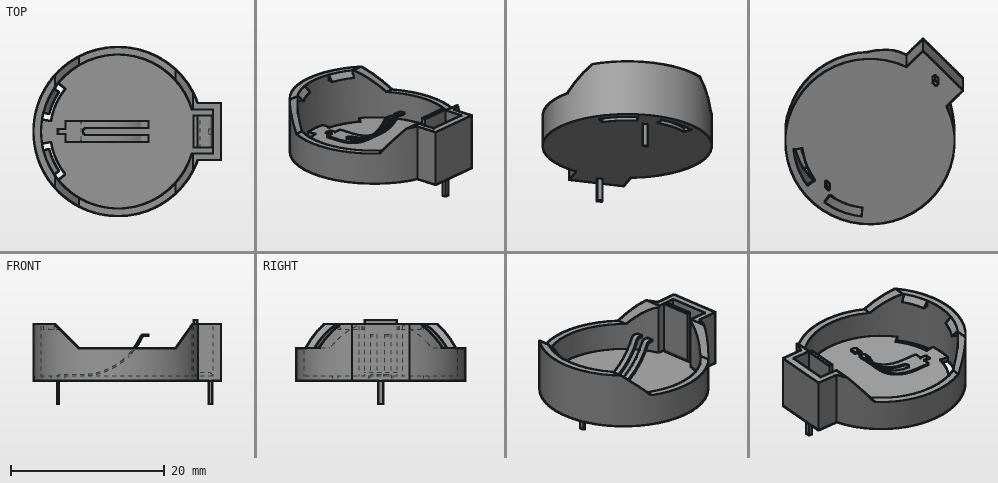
import cadquery as cq
import math

outer_radius = 11.05
inner_radius = 10.05
floor_height = 0.61
wall_height = 7.45
low_rim_height = 4.26

trough_top_left = -8.25
trough_bottom_left = trough_top_left + (wall_height - low_rim_height)
trough_bottom_right = 7.5
trough_top_right = 9.75
trough_width = 24.5

box_right = 13.45
box_width = 7.45
pocket_right = 12.37
pocket_width = 5.68

clip_angles = (156.0, 204.0)
clip_span = 19.8
clip_tip_radius = 9.25
clip_height = 0.75
slot_span = 29.9
slot_inner_radius = 8.87

pin_bottom = -3.05
pin_width = 0.69

leaf_thickness = 0.2
leaf_width = 2.72
leaf_left = -6.88
leaf_rise_start = -4.8
leaf_tip_start = 3.43
leaf_right = 3.97
leaf_base_top = floor_height + leaf_thickness
leaf_tip_top = 6.08
tip_bend_radius = 0.55
fork_left = -4.58
fork_width = 0.95
leaf_pin_left = -7.96
leaf_pin_thickness = 0.27
leaf_pin_bend = 0.35

plate_left = 9.85
plate_thickness = 0.5
plate_width = 4.21
plate_top = 7.96
plate_inner_bend = 0.37
plate_outer_bend = plate_inner_bend + plate_thickness
plate_pin_right = 12.3
plate_leg_top = floor_height + plate_thickness


def extrude_along_y(profile, width):
    """Extrude an XZ profile symmetrically about Y = 0."""
    return profile.close().extrude(width / 2, both=True)


def block(left, right, width, bottom, top):
    """Box centred on Y = 0."""
    return (
        cq.Workplane("XY")
        .box(right - left, width, top - bottom, centered=(False, True, False))
        .translate((left, 0, bottom))
    )


def ring_sector(profile_points, middle_angle, span):
    """Revolve a closed (radius, Z) profile about Z through part of a turn."""
    return (
        cq.Workplane("XZ")
        .polyline(profile_points)
        .close()
        .revolve(span, (0, 0, 0), (0, -1, 0))
        .rotate((0, 0, 0), (0, 0, 1), middle_angle + span / 2)
    )


def make_housing():
    """Round cup joined to the contact box, hollowed above the floor."""
    body = cq.Workplane("XY").circle(outer_radius).extrude(wall_height)
    body = body.union(block(0, box_right, box_width, 0, wall_height))
    cavity_depth = wall_height - floor_height
    cavity = cq.Workplane("XY").workplane(offset=floor_height).circle(inner_radius).extrude(cavity_depth)
    cavity = cavity.union(block(0, pocket_right, pocket_width, floor_height, wall_height))
    trough = extrude_along_y(
        cq.Workplane("XZ").polyline([
            (trough_top_left, wall_height),
            (trough_bottom_left, low_rim_height),
            (trough_bottom_right, low_rim_height),
            (trough_top_right, wall_height),
        ]),
        trough_width,
    )
    return body.cut(cavity).cut(trough)


def make_floor_slot(angle):
    """Cutter for a curved slot right through the floor, along the wall."""
    return ring_sector(
        [
            (slot_inner_radius, 0),
            (inner_radius, 0),
            (inner_radius, floor_height),
            (slot_inner_radius, floor_height),
        ],
        angle,
        slot_span,
    )


def make_clip(angle):
    """Wedge with a sloping lead-in and a flat underside, rooted inside the wall."""
    root_radius = (inner_radius + outer_radius) / 2
    underside = wall_height - clip_height
    return ring_sector(
        [
            (clip_tip_radius, underside),
            (root_radius, underside),
            (root_radius, wall_height),
            (inner_radius, wall_height),
        ],
        angle,
        clip_span,
    )


def make_spring_leaf():
    """Flat base, rising arc and level tip, split into two prongs by a round-ended gap."""
    run = leaf_tip_start - leaf_rise_start
    rise = leaf_tip_top - leaf_base_top
    turn = 2 * math.atan2(rise, run)
    rise_radius = run / math.sin(turn) - tip_bend_radius
    rise_centre = (leaf_rise_start, leaf_base_top + rise_radius)
    bend_centre = (leaf_tip_start, leaf_tip_top - tip_bend_radius)

    def on_rise(depth, angle):
        radius = rise_radius + depth
        return (rise_centre[0] + radius * math.sin(angle), rise_centre[1] - radius * math.cos(angle))

    def on_bend(depth, angle):
        radius = tip_bend_radius - depth
        return (bend_centre[0] - radius * math.sin(angle), bend_centre[1] + radius * math.cos(angle))

    under_tip = leaf_tip_top - leaf_thickness
    leaf = extrude_along_y(
        cq.Workplane("XZ")
        .moveTo(leaf_left, leaf_base_top)
        .lineTo(*on_rise(0, 0))
        .threePointArc(on_rise(0, turn / 2), on_rise(0, turn))
        .threePointArc(on_bend(0, turn / 2), on_bend(0, 0))
        .lineTo(leaf_right, leaf_tip_top)
        .lineTo(leaf_right, under_tip)
        .lineTo(*on_bend(leaf_thickness, 0))
        .threePointArc(on_bend(leaf_thickness, turn / 2), on_bend(leaf_thickness, turn))
        .threePointArc(on_rise(leaf_thickness, turn / 2), on_rise(leaf_thickness, 0))
        .lineTo(leaf_left, floor_height),
        leaf_width,
    )
    fork_gap = block(fork_left + fork_width / 2, leaf_right, fork_width, floor_height, leaf_tip_top)
    fork_end = (
        cq.Workplane("XY")
        .workplane(offset=floor_height)
        .center(fork_left + fork_width / 2, 0)
        .circle(fork_width / 2)
        .extrude(leaf_tip_top - floor_height)
    )
    return leaf.cut(fork_gap).cut(fork_end)


def make_leaf_pin():
    """Narrow tail of the leaf, bent down through the floor."""
    tail = block(leaf_pin_left, leaf_left, pin_width, floor_height - leaf_pin_thickness, leaf_base_top)
    pin = block(leaf_pin_left, leaf_pin_left + leaf_pin_thickness, pin_width, pin_bottom, leaf_base_top)
    return tail.union(pin).edges("|Y and <X and >Z").fillet(leaf_pin_bend)


def make_side_contact():
    """Upright plate, leg along the pocket floor and a narrow pin through the floor."""
    plate_right = plate_left + plate_thickness
    pin_left = plate_pin_right - plate_thickness
    plate = extrude_along_y(
        cq.Workplane("XZ")
        .moveTo(plate_left, plate_top)
        .lineTo(plate_left, floor_height + plate_outer_bend)
        .radiusArc((plate_left + plate_outer_bend, floor_height), -plate_outer_bend)
        .lineTo(pin_left, floor_height)
        .lineTo(plate_pin_right, floor_height)
        .radiusArc((pin_left, plate_leg_top), -plate_thickness)
        .lineTo(plate_right + plate_inner_bend, plate_leg_top)
        .radiusArc((plate_right, plate_leg_top + plate_inner_bend), plate_inner_bend)
        .lineTo(plate_right, plate_top),
        plate_width,
    )
    pin = block(pin_left, plate_pin_right, pin_width, pin_bottom, floor_height)
    return plate.union(pin)


result = make_housing()
for clip_angle in clip_angles:
    result = result.cut(make_floor_slot(clip_angle)).union(make_clip(clip_angle))
result = result.union(make_spring_leaf()).union(make_leaf_pin()).union(make_side_contact())